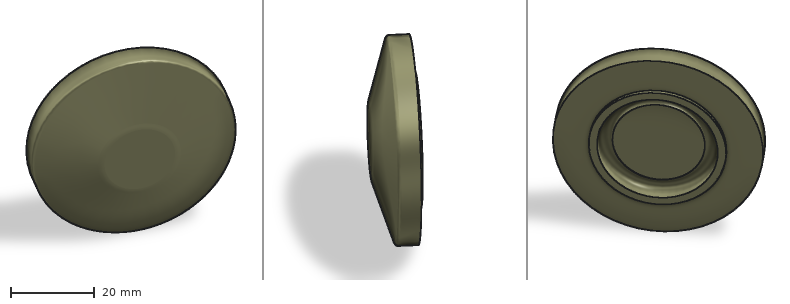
import cadquery as cq
import math

total_length = 11.5
rim_radius = 25.25
collar_radius = 16.5
collar_height = 1.0
cone_start_x = 6.4
cone_tip_radius = 9.5
rim_fillet = 1.0
tip_fillet = 5.0

bore_radius = 14.5
bore_wall_depth = 2.0
groove_radius = 1.75
floor_radius = 11.1

groove_center_radius = bore_radius - groove_radius
groove_bottom_depth = bore_wall_depth + groove_radius
floor_edge_offset = groove_center_radius - floor_radius
floor_depth = bore_wall_depth + math.sqrt(groove_radius**2 - floor_edge_offset**2)


def turn(half_section):
    """Revolve a closed half section (X along the axis, Z as radius) about the X axis."""
    return half_section.revolve(360, (0, 0, 0), (1, 0, 0))


def make_body():
    """Collar, cylindrical rim and cone as one turned solid with both cone edges rounded."""
    half_section = (
        cq.Workplane("XZ")
        .moveTo(0, 0)
        .lineTo(0, collar_radius)
        .lineTo(collar_height, collar_radius)
        .lineTo(collar_height, rim_radius)
        .lineTo(cone_start_x, rim_radius)
        .lineTo(total_length, cone_tip_radius)
        .lineTo(total_length, 0)
        .close()
    )
    body = turn(half_section)
    rim_edge = cq.selectors.NearestToPointSelector((cone_start_x, 0, 0))
    body = body.edges(rim_edge).fillet(rim_fillet)
    return body.faces(">X").edges().fillet(tip_fillet)


def make_recess():
    """Round bore with a round-bottomed groove around its flat floor."""
    half_section = (
        cq.Workplane("XZ")
        .moveTo(0, 0)
        .lineTo(0, bore_radius)
        .lineTo(bore_wall_depth, bore_radius)
        .threePointArc((groove_bottom_depth, groove_center_radius), (floor_depth, floor_radius))
        .lineTo(floor_depth, 0)
        .close()
    )
    return turn(half_section)


result = make_body().cut(make_recess())